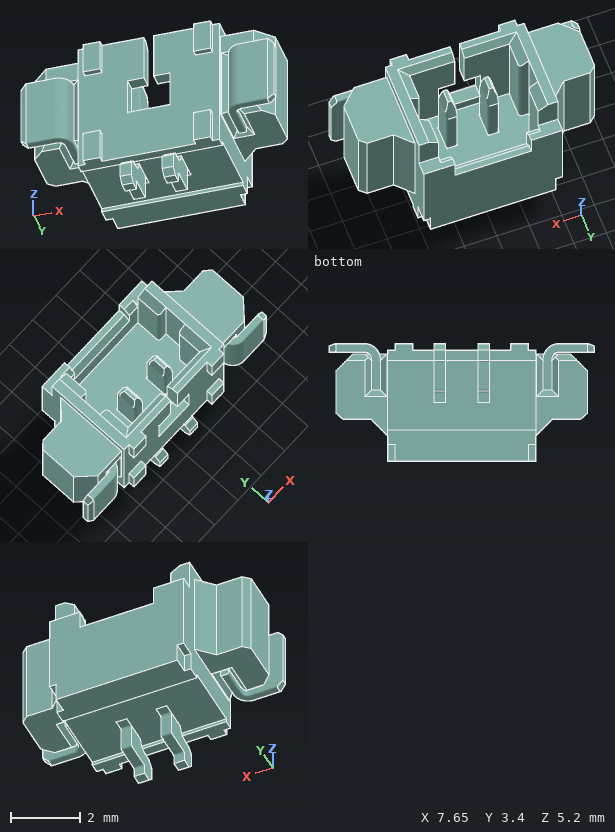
import cadquery as cq
import math


body_width = 4.27
body_height = 4.2
back_face = 3.205
back_wall_height = 3.205
wall = 0.4
side_wall_end = back_face - wall
floor_height = 1.24
cavity_width = 3.06
lead_in = 0.2
rib_depth = 0.3
rib_corner_radius = 0.1
groove_front = 1.23
groove_back = 1.98

key_slot_width = 0.29
window_width = 1.28
window_bottom = 1.6
window_top = 2.74
back_gap_width = 2.34
back_gap_floor = 2.6

underside = 0.115
underside_front = 0.3
underside_back = 2.3
corner_notch_width = 0.21
corner_notch_depth = 0.49
corner_notch_height = 0.605

pad_thickness = 0.19
pad_width = 0.51
pad_height = 0.99
pad_center = 1.67

wing_bottom = 0.995
wing_top = 3.8
wing_tip = 3.63
wing_front = 0.11
wing_back = 2.0
wing_front_chamfer = 0.5
wing_back_chamfer_x = 0.21
wing_back_chamfer_y = 0.18
gusset = 0.48
wing_edge_chamfer = 0.19

clip_tip = 3.825
clip_top = 3.2
clip_thickness = 0.25
clip_front = -pad_thickness
clip_inner_radius = 0.2
clip_bend_start = 2.8
clip_end = 1.15
clip_edge_radius = 0.045
clip_corner_chamfer = 0.19
clip_bevel_length = 0.18
clip_bevel_depth = 0.07
clip_flare = 0.19

pin_pitch = 1.27
pin_count = 2
pin_width = 0.34
blade_front = 0.76
blade_back = 1.515
blade_corner_radius = 0.07
pin_tip = 3.465
end_taper_length = 0.61
side_taper_length = 0.38
tip_width = 0.115
tip_front = 0.91
tip_depth = 0.4
tail_front = 0.565
tail_back = 1.18
tail_arm_top = -0.2
tail_arm_bottom = -0.69
tail_bottom = -1.0
tail_end = clip_front
foot_back = underside_front
foot_chamfer = 0.18
tail_small_round = 0.05
shoulder_radius = 0.08

half_width = body_width / 2
half_cavity = cavity_width / 2
half_mouth = half_cavity + rib_depth
clip_outer_radius = clip_inner_radius + clip_thickness
clip_back = clip_front + clip_thickness
bend_center_y = clip_back + clip_inner_radius
tongue_outer = clip_bend_start - clip_inner_radius
tongue_inner = clip_bend_start - clip_outer_radius


def block(x0, x1, y0, y1, z0, z1):
    """Box between two opposite corners."""
    return cq.Workplane("XY").box(x1 - x0, y1 - y0, z1 - z0, centered=False).translate((x0, y0, z0))


def x_prism(points, half_length):
    """Prism along X, centred on x = 0, from (y, z) points."""
    return cq.Workplane("YZ").polyline(points).close().extrude(half_length, both=True)


def plan_prism(points, z0, z1):
    """Vertical prism from (x, y) points."""
    return cq.Workplane("XY").workplane(offset=z0).polyline(points).close().extrude(z1 - z0)


def both_sides(shape):
    """The shape and its mirror image across x = 0."""
    return [shape, shape.mirror("YZ")]


def make_shell():
    """Outer block, lower at the back than at the front and sides."""
    outline = [
        (0, 0),
        (back_face, 0),
        (back_face, back_wall_height),
        (side_wall_end, back_wall_height),
        (side_wall_end, body_height),
        (0, body_height),
    ]
    return x_prism(outline, half_width)


def make_cavity():
    """Cavity with two side grooves that leave a rib at each corner, and a tapered mouth."""
    well = block(-half_cavity, half_cavity, wall, side_wall_end, floor_height, body_height)
    grooves = block(-half_mouth, half_mouth, groove_front, groove_back, floor_height, body_height)
    cavity = well.union(grooves)
    rib_corners = cq.selectors.BoxSelector(
        (-half_cavity - rib_corner_radius, groove_front - rib_corner_radius, floor_height),
        (half_cavity + rib_corner_radius, groove_back + rib_corner_radius, body_height),
    )
    cavity = cavity.edges("|Z").edges(rib_corners).fillet(rib_corner_radius)
    back_overrun = 2 * side_wall_end
    mouth_front = wall - lead_in
    mouth = (
        cq.Workplane("XY")
        .workplane(offset=body_height - lead_in)
        .center(0, (wall + back_overrun) / 2)
        .rect(cavity_width, back_overrun - wall)
        .workplane(offset=lead_in)
        .center(0, (mouth_front - wall) / 2)
        .rect(2 * half_mouth, back_overrun - mouth_front)
        .loft(ruled=True)
    )
    mouth = mouth.intersect(block(-half_mouth, half_mouth, 0, side_wall_end, 0, body_height))
    return cavity.union(mouth)


def make_back_lead_in(top, width):
    """Sloped cut along the inner top edge of the back wall."""
    section = [
        (side_wall_end, top - lead_in),
        (side_wall_end + lead_in, top),
        (side_wall_end, top),
    ]
    return x_prism(section, width / 2)


def make_openings():
    """Front key slot and window, and the gap in the back wall."""
    key_slot = block(-key_slot_width / 2, key_slot_width / 2, 0, wall, window_top, body_height)
    window = block(-window_width / 2, window_width / 2, 0, wall, window_bottom, window_top)
    half_gap = back_gap_width / 2
    back_gap = block(-half_gap, half_gap, side_wall_end, back_face, back_gap_floor, back_wall_height)
    return [key_slot, window, back_gap]


def make_base_cuts():
    """Relief across the underside and a notch at each lower back corner."""
    relief = block(-half_width, half_width, underside_front, underside_back, 0, underside)
    notch = block(
        half_width - corner_notch_width,
        half_width,
        back_face - corner_notch_depth,
        back_face,
        0,
        corner_notch_height,
    )
    return [relief, *both_sides(notch)]


def make_pads():
    """Four flat pads on the front face."""
    pads = []
    for z0 in (0, body_height - pad_height):
        x0 = pad_center - pad_width / 2
        pad = block(x0, x0 + pad_width, -pad_thickness, 0, z0, z0 + pad_height)
        pads += both_sides(pad)
    return pads


def make_wing():
    """Wing on the +X side, with a chamfered lower front edge outside the clip slot."""
    outline = [
        (half_width, wing_front),
        (wing_tip - wing_front_chamfer, wing_front),
        (wing_tip, wing_front + wing_front_chamfer),
        (wing_tip, wing_back - wing_back_chamfer_y),
        (wing_tip - wing_back_chamfer_x, wing_back),
        (half_width + gusset, wing_back),
        (half_width, wing_back + gusset),
    ]
    wing = plan_prism(outline, wing_bottom, wing_top)
    edge_section = [
        (wing_front, wing_bottom),
        (wing_front + wing_edge_chamfer, wing_bottom),
        (wing_front, wing_bottom + wing_edge_chamfer),
    ]
    edge_cut = x_prism(edge_section, wing_tip)
    outer_side = block(tongue_outer, wing_tip, 0, wing_back, 0, wing_top)
    return wing.cut(edge_cut.intersect(outer_side))


def make_clip_flares():
    """Widened front and bottom entrances of the clip slot on the +X side."""
    front_flare = plan_prism(
        [
            (tongue_inner - clip_flare, wing_front),
            (tongue_outer + clip_flare, wing_front),
            (tongue_outer, wing_front + clip_flare),
            (tongue_inner, wing_front + clip_flare),
        ],
        wing_bottom,
        clip_top,
    )
    slot_length = clip_end - wing_front
    bottom_flare = (
        cq.Workplane("XY")
        .workplane(offset=wing_bottom)
        .center((tongue_inner + tongue_outer) / 2, wing_front + slot_length / 2)
        .rect(clip_thickness + 2 * clip_flare, slot_length + 2 * clip_flare)
        .workplane(offset=clip_flare)
        .rect(clip_thickness, slot_length)
        .loft(ruled=True)
    )
    return [front_flare, bottom_flare]


def make_clip():
    """Bent sheet clip on the +X side: a flat solder tab and a tongue held in the wing."""
    diagonal = math.sqrt(0.5)
    section = (
        cq.Workplane("XY")
        .workplane(offset=wing_bottom)
        .moveTo(clip_tip, clip_front)
        .lineTo(clip_bend_start, clip_front)
        .threePointArc(
            (clip_bend_start - clip_outer_radius * diagonal, bend_center_y - clip_outer_radius * diagonal),
            (tongue_inner, bend_center_y),
        )
        .lineTo(tongue_inner, clip_end)
        .lineTo(tongue_outer, clip_end)
        .lineTo(tongue_outer, bend_center_y)
        .threePointArc(
            (clip_bend_start - clip_inner_radius * diagonal, bend_center_y - clip_inner_radius * diagonal),
            (clip_bend_start, clip_back),
        )
        .lineTo(clip_tip, clip_back)
        .close()
    )
    clip = section.extrude(clip_top - wing_bottom)
    long_edges = clip.faces("<Z or >Z").edges("not(>X or >Y)")
    clip = long_edges.fillet(clip_edge_radius)
    corner_start = clip_tip - clip_corner_chamfer
    tab_outline = [
        (tongue_inner, wing_bottom),
        (corner_start, wing_bottom),
        (clip_tip, wing_bottom + clip_corner_chamfer),
        (clip_tip, clip_top - clip_corner_chamfer),
        (corner_start, clip_top),
        (tongue_inner, clip_top),
    ]
    outline = cq.Workplane("XZ", origin=(0, clip_end, 0)).polyline(tab_outline).close()
    clip = clip.intersect(outline.extrude(clip_end - clip_front))
    bevel = plan_prism(
        [
            (clip_tip, clip_front),
            (clip_tip, clip_front + clip_bevel_depth),
            (clip_tip - clip_bevel_length, clip_front),
        ],
        wing_bottom,
        clip_top,
    )
    return clip.cut(bevel)


def make_pin(x):
    """Pin with a tapered, rounded blade above the floor and a stepped solder tail below."""
    arm_radius = underside - tail_arm_top
    diagonal = math.sqrt(0.5)
    profile = (
        cq.Workplane("YZ")
        .moveTo(blade_front, floor_height)
        .lineTo(blade_front, underside)
        .lineTo(tail_front, underside)
        .threePointArc(
            (tail_front - arm_radius * (1 - diagonal), underside - arm_radius * diagonal),
            (tail_front - arm_radius, tail_arm_top),
        )
        .lineTo(tail_end + foot_chamfer, tail_arm_top)
        .lineTo(tail_end, tail_arm_top - foot_chamfer)
        .lineTo(tail_end, tail_bottom + foot_chamfer)
        .lineTo(tail_end + foot_chamfer, tail_bottom)
        .lineTo(foot_back, tail_bottom)
        .lineTo(foot_back, tail_arm_bottom - tail_small_round)
        .radiusArc((foot_back + tail_small_round, tail_arm_bottom), tail_small_round)
        .lineTo(tail_back - tail_small_round, tail_arm_bottom)
        .radiusArc((tail_back, tail_arm_bottom + tail_small_round), -tail_small_round)
        .lineTo(tail_back, underside - shoulder_radius)
        .radiusArc((tail_back + shoulder_radius, underside), shoulder_radius)
        .lineTo(blade_back, underside)
        .lineTo(blade_back, floor_height)
        .close()
    )
    tail = profile.extrude(pin_width / 2, both=True)

    end_slope_start = pin_tip - end_taper_length
    blade_outline = [
        (blade_front, floor_height),
        (blade_front, end_slope_start),
        (tip_front, pin_tip),
        (tip_front + tip_depth, pin_tip),
        (blade_back, end_slope_start),
        (blade_back, floor_height),
    ]
    blade = x_prism(blade_outline, pin_width / 2)
    blade = blade.faces("|X").edges("not(<Z or >Z)").fillet(blade_corner_radius)
    side_slope_start = pin_tip - side_taper_length
    side_outline = [
        (-pin_width / 2, floor_height),
        (pin_width / 2, floor_height),
        (pin_width / 2, side_slope_start),
        (tip_width / 2, pin_tip),
        (-tip_width / 2, pin_tip),
        (-pin_width / 2, side_slope_start),
    ]
    side_shape = cq.Workplane("XZ", origin=(0, blade_back, 0)).polyline(side_outline).close()
    blade = blade.intersect(side_shape.extrude(blade_back - blade_front))
    return tail.union(blade).translate((x, 0, 0))


def make_housing(fitted_bodies):
    """Housing with seats cut to fit the pins and clips."""
    housing = make_shell().cut(make_cavity())
    cuts = make_openings() + make_base_cuts()
    cuts.append(make_back_lead_in(back_wall_height, cavity_width))
    cuts.append(make_back_lead_in(back_gap_floor, back_gap_width))
    for cut in cuts:
        housing = housing.cut(cut)
    for addition in make_pads() + both_sides(make_wing()):
        housing = housing.union(addition)
    for flare in make_clip_flares():
        for flare_cut in both_sides(flare):
            housing = housing.cut(flare_cut)
    for body in fitted_bodies:
        housing = housing.cut(body)
    return housing


clips = both_sides(make_clip())
pins = []
for index in range(pin_count):
    pins.append(make_pin((index - (pin_count - 1) / 2) * pin_pitch))
housing = make_housing(clips + pins)

result = cq.Compound.makeCompound(
    [
        housing.val(),
        *[clip.val() for clip in clips],
        *[pin.val() for pin in pins],
    ]
)